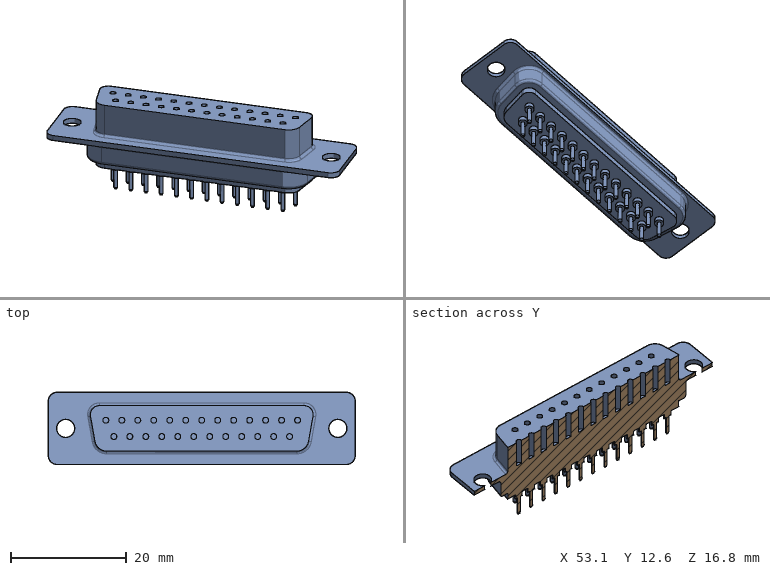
import cadquery as cq
import math

flange_length = 53.1
flange_width = 12.55
flange_thickness = 0.95
flange_corner_radius = 1.6
mounting_hole_diameter = 3.1
mounting_hole_offset = 23.5

shell_half_width = 18.85
shell_depth = 7.85
end_angle = math.radians(10)
wide_corner_radius = 1.55
narrow_corner_radius = 2.05
shell_height = 5.95
rear_shell_offset = 1.55
rear_shell_height = 3.75
base_height = 1.35
edge_radius = 0.5

contact_pitch = 2.75
row_spacing = 2.8
wide_row_count = 13
socket_diameter = 1.0
socket_depth = 5.3
collar_diameter = 1.55
collar_height = 0.95
pin_diameter = 0.7
pin_length = 3.8
tip_length = 0.3
tip_inset = 0.15

flange_bottom = -flange_thickness
rear_shell_bottom = flange_bottom - rear_shell_height
base_bottom = rear_shell_bottom - base_height
collar_bottom = base_bottom - collar_height


def d_prism(offset, bottom, height):
    """D-shaped prism whose outline is the shell outline grown by offset."""
    half_depth = shell_depth / 2 + offset
    lean = half_depth * math.tan(end_angle)
    half_width = shell_half_width + offset / math.cos(end_angle)
    wide = half_width + lean
    narrow = half_width - lean
    outline = [(-wide, half_depth), (wide, half_depth), (narrow, -half_depth), (-narrow, -half_depth)]
    return (
        cq.Workplane("XY", origin=(0, 0, bottom))
        .polyline(outline)
        .close()
        .extrude(height)
        .edges("|Z and >Y")
        .fillet(wide_corner_radius + offset)
        .edges("|Z and <Y")
        .fillet(narrow_corner_radius + offset)
    )


def row_points(count, y):
    """Evenly pitched contact positions centred on X = 0."""
    first = -(count - 1) * contact_pitch / 2
    return [(first + i * contact_pitch, y) for i in range(count)]


def cylinders(points, diameter, bottom, height):
    return (
        cq.Workplane("XY", origin=(0, 0, bottom))
        .pushPoints(points)
        .circle(diameter / 2)
        .extrude(height)
    )


def flange_plate():
    return (
        cq.Workplane("XY", origin=(0, 0, flange_bottom))
        .rect(flange_length, flange_width)
        .extrude(flange_thickness)
        .edges("|Z")
        .fillet(flange_corner_radius)
    )


def shell_root(level):
    """Selector for the edges where a shell meets the flange face at this level."""
    half_length = flange_length / 2 - edge_radius
    half_width = flange_width / 2 - edge_radius
    return cq.selectors.BoxSelector(
        (-half_length, -half_width, level - edge_radius / 2),
        (half_length, half_width, level + edge_radius / 2),
        boundingbox=True,
    )


def housing():
    """Flange and both shells with blended roots, the rear base and the mounting holes."""
    front_shell = d_prism(0, 0, shell_height)
    rear_shell = d_prism(rear_shell_offset, rear_shell_bottom, rear_shell_height)
    rear_shell = rear_shell.faces("<Z").edges().fillet(edge_radius)
    shells = flange_plate().union(front_shell).union(rear_shell)
    for level in (0, flange_bottom):
        shells = shells.edges(shell_root(level)).fillet(edge_radius)

    base = d_prism(0, base_bottom, base_height)
    hole_points = [(-mounting_hole_offset, 0), (mounting_hole_offset, 0)]
    holes = cylinders(hole_points, mounting_hole_diameter, flange_bottom, flange_thickness)
    return shells.union(base).cut(holes)


def pins(points):
    """Solder pins with tapered tips, starting at the collar ends."""
    shafts = cylinders(points, pin_diameter, collar_bottom - pin_length, pin_length)
    return shafts.faces("<Z").edges().chamfer(tip_length, tip_inset)


contacts = row_points(wide_row_count, row_spacing / 2)
contacts += row_points(wide_row_count - 1, -row_spacing / 2)

collars = cylinders(contacts, collar_diameter, collar_bottom, collar_height)
sockets = cylinders(contacts, socket_diameter, shell_height - socket_depth, socket_depth)

result = housing().union(collars).union(pins(contacts)).cut(sockets)